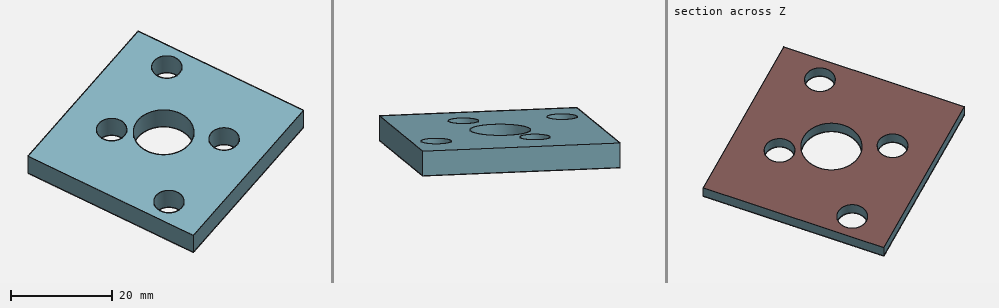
import cadquery as cq

plate_length = 39.0
plate_width = 40.0
plate_thickness = 5.0

bore_diameter = 12.0
bore_x = 19.0
bore_y = plate_width / 2

hole_diameter = 6.0
hole_pitch = 20.0
left_column_x = 10.0
right_column_x = left_column_x + hole_pitch
edge_distance = 5.0

left_back_y = plate_width - edge_distance
right_front_y = edge_distance
hole_centers = [
    (left_column_x, left_back_y),
    (left_column_x, left_back_y - hole_pitch),
    (right_column_x, right_front_y),
    (right_column_x, right_front_y + hole_pitch),
]


def through_holes(centers, diameter):
    """Cylinders through the full plate thickness at the given centers."""
    return cq.Workplane("XY").pushPoints(centers).circle(diameter / 2).extrude(plate_thickness)


plate = cq.Workplane("XY").box(plate_length, plate_width, plate_thickness, centered=False)
bore = through_holes([(bore_x, bore_y)], bore_diameter)
mounting_holes = through_holes(hole_centers, hole_diameter)

result = plate.cut(bore).cut(mounting_holes)